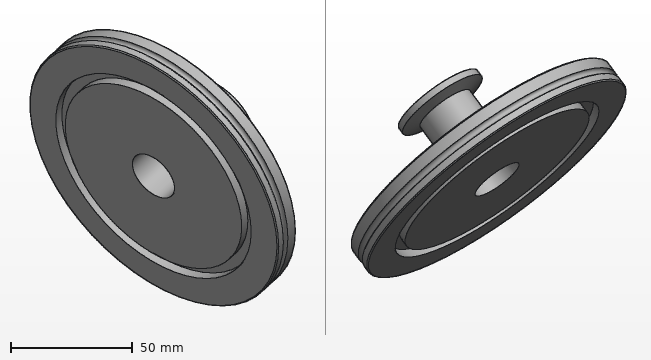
import cadquery as cq
import math

disc_radius = 130 / 2
disc_thickness = 12.1
edge_chamfer = 0.5

rim_groove_width = 3.0
rim_groove_depth = rim_groove_width / 2
rim_groove_center = 5.1

face_groove_inner_radius = 92.2 / 2
face_groove_outer_radius = 102.0 / 2
face_groove_depth = 4.0

total_length = 42.0
tube_radius = 25.4 / 2
flange_radius = 40.0 / 2
flange_rim_thickness = 3.0
flange_taper_angle = 15
bore_radius = 22.0 / 2


def make_disc():
    """Chamfered disc with a half-round groove around its rim."""
    groove_start = rim_groove_center - rim_groove_width / 2
    groove_end = rim_groove_center + rim_groove_width / 2
    profile = (
        cq.Workplane("XY")
        .lineTo(disc_radius - edge_chamfer, 0)
        .lineTo(disc_radius, edge_chamfer)
        .lineTo(disc_radius, groove_start)
        .threePointArc(
            (disc_radius - rim_groove_depth, rim_groove_center),
            (disc_radius, groove_end),
        )
        .lineTo(disc_radius, disc_thickness - edge_chamfer)
        .lineTo(disc_radius - edge_chamfer, disc_thickness)
        .lineTo(0, disc_thickness)
        .close()
    )
    return profile.revolve(360, (0, 0), (0, 1))


def make_flanged_tube():
    """Solid stem ending in a flange whose underside is tapered."""
    taper_length = (flange_radius - tube_radius) * math.tan(math.radians(flange_taper_angle))
    rim_start = total_length - flange_rim_thickness
    profile = (
        cq.Workplane("XY")
        .lineTo(tube_radius, 0)
        .lineTo(tube_radius, rim_start - taper_length)
        .lineTo(flange_radius, rim_start)
        .lineTo(flange_radius, total_length)
        .lineTo(0, total_length)
        .close()
    )
    return profile.revolve(360, (0, 0), (0, 1))


def along_y(sketch, length):
    """Extrude circles drawn on the XZ plane from the front face toward +Y."""
    return sketch.extrude(-length)


face_groove = along_y(
    cq.Workplane("XZ").circle(face_groove_outer_radius).circle(face_groove_inner_radius),
    face_groove_depth,
)
bore = along_y(cq.Workplane("XZ").circle(bore_radius), total_length)

result = make_disc().union(make_flanged_tube()).cut(face_groove).cut(bore)